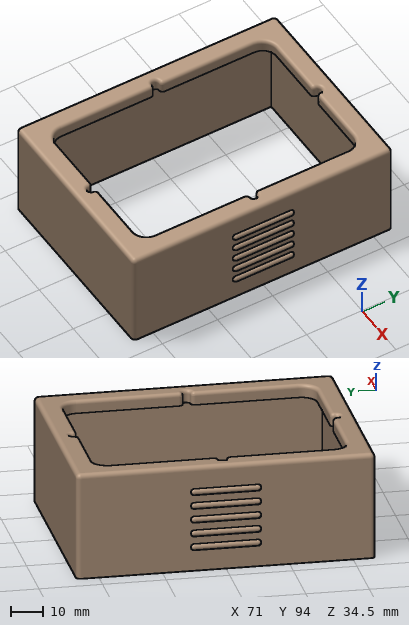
import cadquery as cq
import math

total_width = 71.0
length = 94.0
height = 34.5
outer_radius = 1.5
wall = 4.0
top_thickness = 4.1

rib_radius = 1.0
rib_straight = 20.0
rib_count = 5
rib_span = 18.2
rib_center_height = 17.0

window_width = 55.0
window_length = 79.9
window_corner_radius = 5.0
notch_radius = 1.1
notch_flat = 0.2
mouth_radius = 1.3
rim_radius = 1.2

width = total_width - 2 * rib_radius
rib_pitch = rib_span / (rib_count - 1)


def shell():
    """Box with rounded corners and top rim, hollowed from below."""
    box = cq.Workplane("XY").box(width, length, height, centered=(True, True, False))
    box = box.edges("|Z or >Z").fillet(outer_radius)
    cavity_height = height - top_thickness
    cavity = cq.Workplane("XY").box(
        width - 2 * wall, length - 2 * wall, cavity_height, centered=(True, True, False)
    )
    return box.cut(cavity)


def place(along, outward, turn):
    """Point of a window side drawn as the +Y side, turned about Z to where it belongs."""
    angle = math.radians(turn)
    x = along * math.cos(angle) - outward * math.sin(angle)
    y = along * math.sin(angle) + outward * math.cos(angle)
    return (x, y)


def window_outline():
    """Notched window outline in the top face, drawn clockwise."""
    half_width = window_width / 2
    half_length = window_length / 2
    sides = [
        (90, half_width, half_length - window_corner_radius),
        (0, half_length, half_width - window_corner_radius),
        (-90, half_width, half_length - window_corner_radius),
        (180, half_length, half_width - window_corner_radius),
    ]
    half_flat = notch_flat / 2
    half_notch = half_flat + notch_radius
    half_mouth = half_notch + mouth_radius

    last_turn, last_distance, last_run = sides[-1]
    start = place(last_run, last_distance, last_turn)
    outline = cq.Workplane("XY", origin=(0, 0, height)).moveTo(*start)
    for turn, distance, run in sides:
        neck = distance + mouth_radius
        bottom = neck + notch_radius
        outline = (
            outline.radiusArc(place(-run, distance, turn), window_corner_radius)
            .lineTo(*place(-half_mouth, distance, turn))
            .radiusArc(place(-half_notch, neck, turn), -mouth_radius)
            .radiusArc(place(-half_flat, bottom, turn), notch_radius)
            .lineTo(*place(half_flat, bottom, turn))
            .radiusArc(place(half_notch, neck, turn), notch_radius)
            .radiusArc(place(half_mouth, distance, turn), -mouth_radius)
            .lineTo(*place(run, distance, turn))
        )
    return outline.close()


def cut_window(body):
    """Cut the window through the top and round its upper edge."""
    body = body.cut(window_outline().extrude(-top_thickness))
    reach_x = width / 2 - outer_radius
    reach_y = length / 2 - outer_radius
    margin = 0.1
    window_rim = cq.selectors.BoxSelector(
        (-reach_x + margin, -reach_y + margin, height - margin),
        (reach_x - margin, reach_y - margin, height + margin),
        boundingbox=True,
    )
    return body.edges(window_rim).fillet(rim_radius)


def rib(side, z):
    """One grip rib, a ball-ended bar centred on the wall surface so that half of it stands out."""
    half = rib_straight / 2
    tip = half + rib_radius
    return (
        cq.Workplane("XY", origin=(side * width / 2, 0, z))
        .moveTo(0, -tip)
        .radiusArc((-side * rib_radius, -half), side * rib_radius)
        .lineTo(-side * rib_radius, half)
        .radiusArc((0, tip), side * rib_radius)
        .close()
        .revolve(360, (0, 0), (0, 1))
    )


result = cut_window(shell())
for side in (-1, 1):
    for index in range(rib_count):
        z = rib_center_height - rib_span / 2 + index * rib_pitch
        result = result.union(rib(side, z))